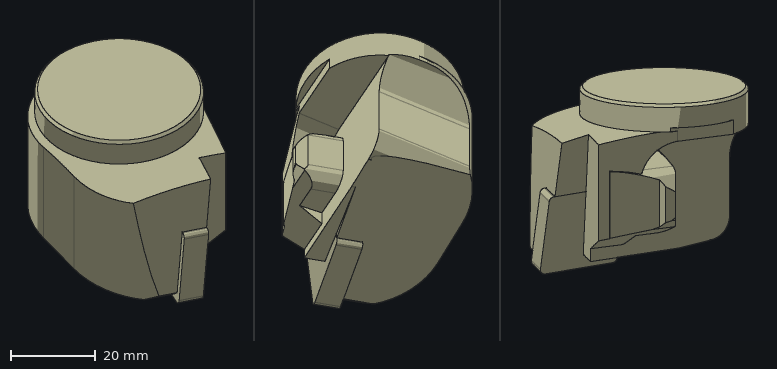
import cadquery as cq
import math

DISC_RADIUS = 40.0 / 2
DISC_BOTTOM = -6.7
DISC_CHAMFER = 0.7
BACK_FLAT_Y = 18.1
RIM_BOTTOM = -5.7

SHANK_SHIFT_Y = -2.05
FRONT_FLAT_LENGTH = 12.35
CONE_ANGLE = 15
BACK_RIGHT_POINT = (25.15, 13.0)
BACK_SLOPE = math.tan(math.radians(15.5))
REACH = 80.8
SHANK_DEPTH = 48.5

LEFT_X = -13.65
LEFT_ARC_RADIUS = 10.0
LEFT_ARC_END_Z = -17.45
LEFT_ROUND_RADIUS = 5.4
LEFT_ROUND_START_Z = -31.55
STEP_Y = 7.5

DEEP_X = 15.4
DEEP_CEILING_Z = -9.15
DEEP_ARC_END_Z = -19.05
UNDERSIDE_TOP = (21.55, -24.8)
UNDERSIDE_BEND = (16.7, -30.15)
UNDERSIDE_START_Z = -35.35

BOSS_LEFT_X = 4.6
BOSS_RIGHT_X = 21.55
BOSS_TOP_Z = -13.05
BOSS_BOTTOM_Z = -31.25
BOSS_TOP_ROUND = 6.0 / 2
BOSS_BOTTOM_ROUND = 7.9 / 2
BOSS_END_CORNER = (5.9, 15.8)
BOSS_END_PEAK = (7.55, 18.75)
BOSS_END_SHOULDER = (9.95, 18.15)
BOSS_END_FOOT = (11.05, 17.2)
BOSS_CROWN_TOP = (14.8, -15.9)
BOSS_CROWN_PEAK = (18.95, -26.65)
BOSS_CROWN_BOTTOM = (14.0, -33.4)

TIP = (33.95, 0.05, -42.1)
AZIMUTH = math.radians(10)
DIP = math.radians(7)
EDGE_ANGLE = math.radians(5)
INSERT_SIDE = 19.4
INSERT_THICKNESS = 6.45
INSERT_CORNER_RADIUS = 1.2
INSERT_OVERHANG = 1.3
NOSE_CHAMFER = 1.35
GULLET_WALL = 10.8
GULLET_FLOOR = 4.3

PLATE_NORMAL = (
    -math.sin(AZIMUTH) * math.cos(DIP),
    -math.cos(AZIMUTH) * math.cos(DIP),
    math.sin(DIP),
)
RAKE_PLANE = cq.Plane(TIP, (math.cos(AZIMUTH), -math.sin(AZIMUTH), 0), PLATE_NORMAL)
ALONG_THICKNESS = cq.selectors.ParallelDirSelector(cq.Vector(*PLATE_NORMAL))


def rhombus_points(side, inset):
    """Rhombus on the rake plane; its tip moves inward by inset from both cutting edges."""
    shift = inset / (math.cos(EDGE_ANGLE) - math.sin(EDGE_ANGLE))
    tip_x = -shift
    tip_y = shift
    long_part = side * math.cos(EDGE_ANGLE)
    short_part = side * math.sin(EDGE_ANGLE)
    return [
        (tip_x, tip_y),
        (tip_x - short_part, tip_y + long_part),
        (tip_x - short_part - long_part, tip_y + long_part + short_part),
        (tip_x - long_part, tip_y + short_part),
    ]


def make_insert():
    plate = cq.Workplane(RAKE_PLANE).polyline(rhombus_points(INSERT_SIDE, 0)).close()
    plate = plate.extrude(INSERT_THICKNESS)
    return plate.edges(ALONG_THICKNESS).fillet(INSERT_CORNER_RADIUS)


def make_disc():
    disc = cq.Workplane("XY").circle(DISC_RADIUS).extrude(DISC_BOTTOM)
    disc = disc.faces(">Z").chamfer(DISC_CHAMFER)
    back_cut = (
        cq.Workplane("XY", origin=(0, BACK_FLAT_Y, RIM_BOTTOM))
        .box(REACH, REACH, REACH, centered=(True, False, False))
        .translate((0, 0, -REACH))
    )
    return disc.cut(back_cut)


def make_shank_blank():
    """Plan outline, topped by the conical shoulder."""
    diagonal = DISC_RADIUS * math.sqrt(0.5)
    front_y = SHANK_SHIFT_Y - DISC_RADIUS
    right_x = FRONT_FLAT_LENGTH + DISC_RADIUS
    back_left_x = -math.sqrt(DISC_RADIUS**2 - BACK_FLAT_Y**2)
    back_angle = (math.pi + math.atan2(BACK_FLAT_Y, back_left_x)) / 2
    back_mid = (DISC_RADIUS * math.cos(back_angle), DISC_RADIUS * math.sin(back_angle))
    corner_x, corner_y = BACK_RIGHT_POINT
    bend_x = corner_x - (BACK_FLAT_Y - corner_y) / BACK_SLOPE
    right_y = corner_y - (right_x - corner_x) * BACK_SLOPE
    outline = (
        cq.Workplane("XY")
        .moveTo(-DISC_RADIUS, 0)
        .lineTo(-DISC_RADIUS, SHANK_SHIFT_Y)
        .threePointArc((-diagonal, SHANK_SHIFT_Y - diagonal), (0, front_y))
        .lineTo(FRONT_FLAT_LENGTH, front_y)
        .threePointArc(
            (FRONT_FLAT_LENGTH + diagonal, SHANK_SHIFT_Y - diagonal), (right_x, SHANK_SHIFT_Y)
        )
        .lineTo(right_x, right_y)
        .lineTo(bend_x, BACK_FLAT_Y)
        .lineTo(back_left_x, BACK_FLAT_Y)
        .threePointArc(back_mid, (-DISC_RADIUS, 0))
        .close()
        .extrude(-SHANK_DEPTH)
    )
    cone_edge_z = DISC_BOTTOM - (SHANK_DEPTH - DISC_RADIUS) * math.tan(math.radians(CONE_ANGLE))
    shoulder = (
        cq.Workplane("XZ")
        .polyline([
            (0, DISC_BOTTOM),
            (DISC_RADIUS, DISC_BOTTOM),
            (SHANK_DEPTH, cone_edge_z),
            (SHANK_DEPTH, -SHANK_DEPTH),
            (0, -SHANK_DEPTH),
        ])
        .close()
        .revolve(360, (0, 0, 0), (0, 1, 0))
    )
    return outline.intersect(shoulder)


def make_end_limits():
    """Region inside the right face and the bottom face, which run parallel to the cutting edges."""
    limits = (
        cq.Workplane(RAKE_PLANE)
        .workplane(offset=-REACH)
        .polyline(rhombus_points(REACH, INSERT_OVERHANG))
        .close()
        .extrude(2 * REACH)
    )
    nose = RAKE_PLANE.toWorldCoords((0, 0, 0)).toTuple()
    nose_edge = cq.selectors.NearestToPointSelector(nose)
    return limits.edges(ALONG_THICKNESS).edges(nose_edge).chamfer(NOSE_CHAMFER)


def make_left_relief():
    """Left side cut: concave arc under the disc, flat face, rounded lower corner."""
    arc_centre_x = LEFT_X - LEFT_ARC_RADIUS
    diagonal = LEFT_ARC_RADIUS * math.sqrt(0.5)
    round_centre_x = LEFT_X + LEFT_ROUND_RADIUS
    round_diagonal = LEFT_ROUND_RADIUS * math.sqrt(0.5)
    return (
        cq.Workplane("XZ", origin=(0, STEP_Y, 0))
        .moveTo(arc_centre_x, LEFT_ARC_END_Z + LEFT_ARC_RADIUS)
        .threePointArc(
            (arc_centre_x + diagonal, LEFT_ARC_END_Z + diagonal), (LEFT_X, LEFT_ARC_END_Z)
        )
        .lineTo(LEFT_X, LEFT_ROUND_START_Z)
        .threePointArc(
            (round_centre_x - round_diagonal, LEFT_ROUND_START_Z - round_diagonal),
            (round_centre_x, LEFT_ROUND_START_Z - LEFT_ROUND_RADIUS),
        )
        .lineTo(round_centre_x, -SHANK_DEPTH)
        .lineTo(arc_centre_x, -SHANK_DEPTH)
        .close()
        .extrude(REACH)
    )


def make_deep_relief():
    """Cut behind the step plane: flat ceiling, concave arc, then a flat inner face."""
    arc_centre_x = DEEP_X - LEFT_ARC_RADIUS
    arc_rise = DEEP_CEILING_Z - DEEP_ARC_END_Z
    arc_start_x = arc_centre_x + math.sqrt(LEFT_ARC_RADIUS**2 - arc_rise**2)
    mid_angle = math.asin(arc_rise / LEFT_ARC_RADIUS) / 2
    arc_mid = (
        arc_centre_x + LEFT_ARC_RADIUS * math.cos(mid_angle),
        DEEP_ARC_END_Z + LEFT_ARC_RADIUS * math.sin(mid_angle),
    )
    return (
        cq.Workplane("XZ", origin=(0, STEP_Y, 0))
        .moveTo(-REACH, DEEP_CEILING_Z)
        .lineTo(arc_start_x, DEEP_CEILING_Z)
        .threePointArc(arc_mid, (DEEP_X, DEEP_ARC_END_Z))
        .lineTo(DEEP_X, -SHANK_DEPTH)
        .lineTo(-REACH, -SHANK_DEPTH)
        .close()
        .extrude(-REACH)
    )


def make_boss():
    """Rounded boss that runs back from the step plane, parallel to the plate's thickness."""
    back = tuple(-part for part in PLATE_NORMAL)
    profile = cq.Workplane("XZ", origin=(0, STEP_Y, 0)).moveTo(
        (BOSS_LEFT_X + BOSS_RIGHT_X) / 2, (BOSS_TOP_Z + BOSS_BOTTOM_Z) / 2
    )
    profile = profile.rect(BOSS_RIGHT_X - BOSS_LEFT_X, BOSS_TOP_Z - BOSS_BOTTOM_Z)
    sweep = cq.Vector(*back).multiply(DISC_RADIUS)
    boss = cq.Workplane(cq.Solid.extrudeLinear(profile.wires().val(), [], sweep))
    left_edges = boss.faces("<X").edges(ALONG_THICKNESS)
    boss = left_edges.edges(">Z").fillet(BOSS_TOP_ROUND)
    left_edges = boss.faces("<X").edges(ALONG_THICKNESS)
    boss = left_edges.edges("<Z").fillet(BOSS_BOTTOM_ROUND)
    foot_x, foot_y = BOSS_END_FOOT
    plan_limit = (
        cq.Workplane("XY")
        .polyline([
            BOSS_END_CORNER,
            BOSS_END_PEAK,
            BOSS_END_SHOULDER,
            BOSS_END_FOOT,
            (REACH, foot_y - (REACH - foot_x) * BACK_SLOPE),
            (REACH, -REACH),
            (-REACH, -REACH),
        ])
        .close()
        .extrude(-SHANK_DEPTH)
    )
    crown_limit = (
        cq.Workplane("YZ", origin=(-REACH, 0, 0))
        .moveTo(*BOSS_CROWN_TOP)
        .threePointArc(BOSS_CROWN_PEAK, BOSS_CROWN_BOTTOM)
        .lineTo(STEP_Y, BOSS_CROWN_BOTTOM[1])
        .lineTo(STEP_Y, BOSS_TOP_Z)
        .close()
        .extrude(2 * REACH)
    )
    return boss.intersect(plan_limit).intersect(crown_limit)


def make_underside_cut():
    """Sloping cut under everything behind the step plane."""
    return (
        cq.Workplane("YZ", origin=(-REACH, 0, 0))
        .polyline([
            (STEP_Y, -REACH),
            (STEP_Y, UNDERSIDE_START_Z),
            UNDERSIDE_BEND,
            UNDERSIDE_TOP,
            (UNDERSIDE_TOP[0], -REACH),
        ])
        .close()
        .extrude(2 * REACH)
    )


def make_gullet():
    """Chip space above the rake plane."""
    return (
        cq.Workplane(RAKE_PLANE)
        .polyline([
            (REACH, -REACH),
            (REACH, REACH),
            (-GULLET_WALL, REACH),
            (-GULLET_WALL, GULLET_FLOOR),
            (-REACH, GULLET_FLOOR),
            (-REACH, -REACH),
        ])
        .close()
        .extrude(-REACH)
    )


def make_holder(insert):
    shank = make_shank_blank().cut(make_left_relief()).cut(make_deep_relief())
    shank = shank.union(make_boss()).cut(make_underside_cut())
    shank = shank.intersect(make_end_limits()).cut(make_gullet())
    return shank.union(make_disc()).cut(insert)


insert = make_insert()
holder = make_holder(insert)
result = cq.Compound.makeCompound([holder.val(), insert.val()])